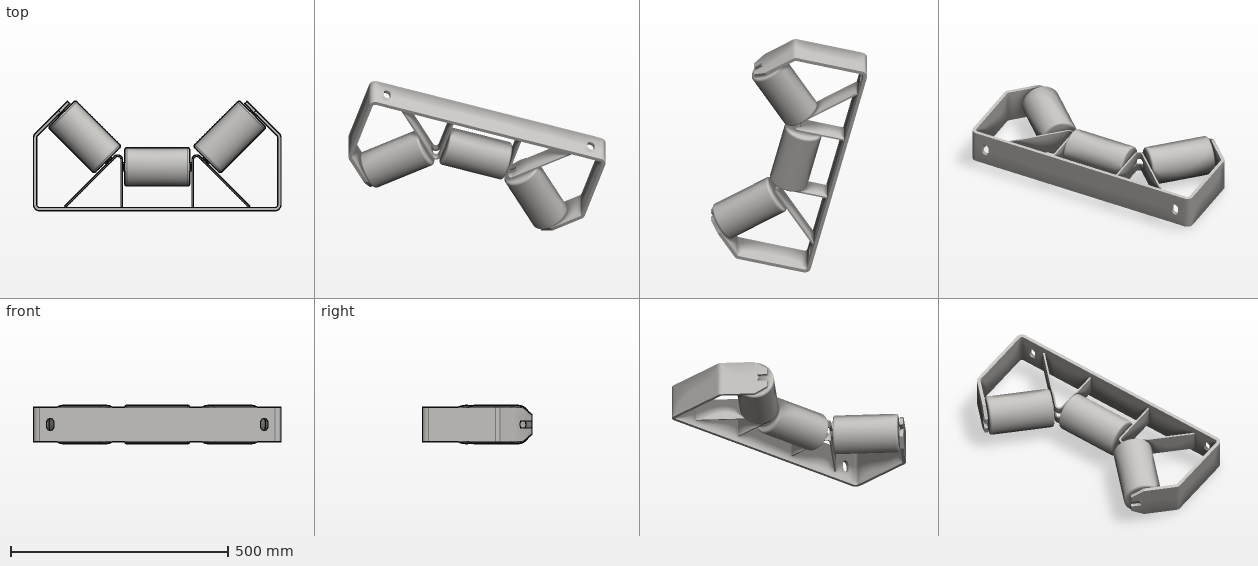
import cadquery as cq
import math


frame_length = 570.0
frame_depth = 252.5
frame_width = 80.0
frame_thickness = 8.0
frame_bend_radius = 10.0
knee_height = 174.5
tip_chamfer_length = 29.5
tip_chamfer_width = 17.0
mount_hole_width = 16.5
mount_hole_length = 27.5
mount_hole_x = 246.0

roller_diameter = 89.0
roller_length = 150.0
roller_edge_radius = 5.0
shaft_diameter = 19.5
collar_length = 3.0
shaft_flat_width = 16.0
middle_roller_y = 101.5
side_roller_x = 167.0
side_roller_y = 170.5
lean_angle = 45.0

bracket_width = 50.0
bracket_thickness = 4.0
bracket_bend_radius = 9.0
bracket_distance = 80.0

lean = math.radians(lean_angle)
lean_cos = math.cos(lean)
lean_sin = math.sin(lean)
half_bend_tan = math.tan(lean / 2)
bracket_foot_y = frame_thickness
bracket_shaft_end = bracket_distance + bracket_thickness
arm_shaft_end = (frame_length / 2 - side_roller_x) * lean_cos + (knee_height - side_roller_y) * lean_sin
arm_distance = arm_shaft_end - frame_thickness


def bent_strip(points, bend_radius, thickness, width):
    """Sweep a flat section along a mid-thickness path with rounded corners."""
    corners = [cq.Vector(x, y, 0) for x, y in points]
    sharp_path = cq.Wire.makePolygon(corners)
    path = sharp_path.fillet(bend_radius, sharp_path.Vertices()[1:-1])
    section_plane = cq.Plane(origin=corners[0], xDir=(0, 0, 1), normal=corners[1] - corners[0])
    return cq.Workplane(section_plane).rect(width, thickness).sweep(cq.Workplane(obj=path))


def on_side_axis(solid):
    """Move a solid built along X about the origin onto the left roller's leaning axis."""
    return solid.rotate((0, 0, 0), (0, 0, 1), -lean_angle).translate((-side_roller_x, side_roller_y, 0))


def flatted_bar(start, end):
    """Shaft end along X, with flats facing up and down."""
    bar = cq.Workplane("YZ", origin=(start, 0, 0)).circle(shaft_diameter / 2).extrude(end - start)
    flats = cq.Workplane("XY").box(2 * frame_length, shaft_diameter, shaft_flat_width)
    return bar.intersect(flats)


def shaft_slot(start, end, depth):
    """Open slot running from a shaft end towards +Y, its bottom fitting the shaft."""
    opening = cq.Workplane("XY").box(
        end - start, depth, shaft_flat_width, centered=(False, False, True)
    ).translate((start, 0, 0))
    return flatted_bar(start, end).union(opening)


def make_frame():
    inset = frame_thickness / 2
    side_x = frame_length / 2 - inset
    knee_y = knee_height - inset * half_bend_tan
    tip_y = frame_depth - inset * lean_cos
    tip_x = side_x - (tip_y - knee_y) / math.tan(lean)
    left_half = [(-tip_x, tip_y), (-side_x, knee_y), (-side_x, inset)]
    right_half = [(-x, y) for x, y in reversed(left_half)]
    frame = bent_strip(left_half + right_half, frame_bend_radius, frame_thickness, frame_width)

    slot = on_side_axis(shaft_slot(-arm_shaft_end, -arm_distance, frame_depth))
    half_width = frame_width / 2
    corner = (
        cq.Workplane("YZ")
        .polyline([(0, half_width), (-tip_chamfer_length, half_width), (0, half_width - tip_chamfer_width)])
        .close()
        .extrude(frame_thickness, both=True)
        .rotate((0, 0, 0), (0, 0, 1), -lean_angle)
        .translate((-tip_x, tip_y, 0))
    )
    tip_cut = slot.union(corner).union(corner.mirror("XY"))
    frame = frame.cut(tip_cut).cut(tip_cut.mirror("YZ"))

    holes = (
        cq.Workplane("XZ")
        .pushPoints([(-mount_hole_x, 0), (mount_hole_x, 0)])
        .slot2D(mount_hole_length, mount_hole_width, 90)
        .extrude(-frame_thickness)
    )
    return frame.cut(holes)


def make_left_bracket():
    inset = bracket_thickness / 2
    upright_x = -bracket_distance - inset
    leg_reach = bracket_distance + inset
    leg_x = -side_roller_x + leg_reach * lean_cos
    leg_y = side_roller_y - leg_reach * lean_sin
    slope = math.tan(lean)
    peak_y = leg_y + (upright_x - leg_x) * slope
    foot_y = bracket_foot_y + inset * lean_sin
    foot_x = leg_x + (foot_y - leg_y) / slope
    path = [(foot_x, foot_y), (upright_x, peak_y), (upright_x, bracket_foot_y)]
    bracket = bent_strip(path, bracket_bend_radius, bracket_thickness, bracket_width)

    side_slot = on_side_axis(shaft_slot(bracket_distance, bracket_shaft_end, frame_depth))
    middle_slot = shaft_slot(-bracket_shaft_end, -bracket_distance, frame_depth)
    middle_slot = middle_slot.translate((0, middle_roller_y, 0))
    bend_opening = cq.Workplane("XY").box(
        upright_x - leg_x, frame_depth, shaft_flat_width, centered=(False, False, True)
    ).translate((leg_x, leg_y, 0))
    return bracket.cut(side_slot).cut(middle_slot).cut(bend_opening)


def make_roller(start, end):
    """Roller along X, its drum centred on the origin, with shaft ends reaching to start and end."""
    drum = (
        cq.Workplane("YZ", origin=(-roller_length / 2, 0, 0))
        .circle(roller_diameter / 2)
        .extrude(roller_length)
        .edges()
        .fillet(roller_edge_radius)
    )
    collars = (
        cq.Workplane("YZ")
        .circle(shaft_diameter / 2)
        .extrude(roller_length / 2 + collar_length, both=True)
    )
    return drum.union(collars).union(flatted_bar(start, end))


frame = make_frame()
left_bracket = make_left_bracket()
brackets = [left_bracket, left_bracket.mirror("YZ")]
middle_roller = make_roller(-bracket_shaft_end, bracket_shaft_end).translate((0, middle_roller_y, 0))
left_roller = on_side_axis(make_roller(-arm_shaft_end, bracket_shaft_end))
rollers = [left_roller, middle_roller, left_roller.mirror("YZ")]

result = cq.Compound.makeCompound([body.val() for body in [frame, *brackets, *rollers]])